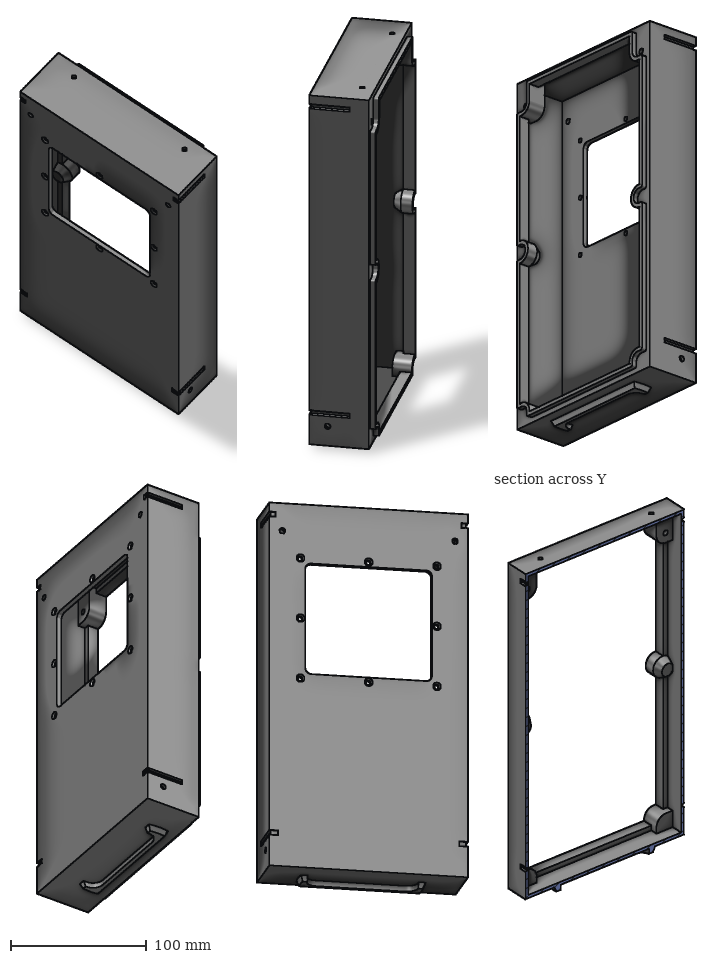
import cadquery as cq

body_width = 149.5
total_height = 283.5
total_depth = 49.0
guide_height = 4.3
lip_height = 4.0
body_height = total_height - guide_height
body_depth = total_depth - lip_height
front_thickness = 4.0
wall = 3.0
half_width = body_width / 2

lip_inset = 4.3
lip_thickness = 3.0
ledge_y = 40.3
notch_radius = 6.0
notch_mouth_fillet = 1.5
corner_notch_from_side = 15.3
top_notch_from_top = 26.7
bottom_notch_from_bottom = 14.2

boss_front_y = 34.3
boss_tip_radius = 5.5
boss_radius = notch_radius + lip_thickness
side_boss_x = 67.0
side_boss_z = body_height / 2
boss_hole_diameter = 4.3
boss_hole_x = 65.0
boss_hole_from_top = 21.3

window_width = 95.3
window_height = 85.0
window_corner_radius = 4.5
window_z = body_height - 87.5
window_screw_diameter = 3.5
window_screw_head_diameter = 6.0
window_screw_head_depth = 1.5
window_screw_pitch_x = 51.3
window_screw_pitch_z = 46.2

groove_height = 3.7
groove_depth = 1.5
groove_side_length = 30.5
groove_taper = 0.95
top_groove_z = body_height - 8.8
top_groove_reach = 4.8
bottom_groove_z = 25.5
bottom_groove_reach = 6.5

top_hole_diameter = 3.5
top_hole_x = 52.2
top_hole_y = 35.2
side_hole_diameter = 4.3
side_hole_y = 14.0
side_hole_z = 15.5

guide_width = 95.3
guide_front_y = 19.5
guide_back_y = 36.3
guide_end_bulge = 0.9
guide_taper = 25
guide_pocket_width = 83.5
guide_pocket_radius = 8.5
guide_back_thickness = 5.5


def block(x0, x1, y0, y1, z0, z1):
    """Axis-aligned box between two corners."""
    return cq.Workplane("XY").box(x1 - x0, y1 - y0, z1 - z0, centered=False).translate((x0, y0, z0))


def pin(x, z, diameter, y0, y1):
    """Cylinder along Y."""
    return cq.Workplane("XZ", origin=(x, y0, z)).circle(diameter / 2).extrude(y0 - y1)


def frustum(x, z, front_diameter, back_diameter, y0, y1):
    """Cone along Y from the front diameter at y0 to the back diameter at y1."""
    front = cq.Workplane("XZ", origin=(x, y0, z)).circle(front_diameter / 2)
    return front.workplane(offset=y0 - y1).circle(back_diameter / 2).loft()


def corner_notch(side, top, grow, y0, y1):
    """Corner block, rounded on its inner edge, enlarged inwards by grow."""
    x0, x1 = sorted((side * half_width, side * (half_width - corner_notch_from_side - grow)))
    if top:
        z0, z1 = body_height - top_notch_from_top - grow, body_height
    else:
        z0, z1 = 0, bottom_notch_from_bottom + grow
    inner_edge = ("<X" if side > 0 else ">X", "<Z" if top else ">Z")
    notch = block(x0, x1, y0, y1, z0, z1)
    return notch.faces(inner_edge[0]).edges(inner_edge[1]).fillet(notch_radius + grow)


def side_notch(side, grow, y0, y1):
    """Round-ended slot running from the side wall in to the side boss."""
    radius = notch_radius + grow
    x0, x1 = sorted((side * side_boss_x, side * half_width))
    slot = block(x0, x1, y0, y1, side_boss_z - radius, side_boss_z + radius)
    return slot.union(pin(side * side_boss_x, side_boss_z, 2 * radius, y0, y1))


def lip_plate(inset, grow, y0, y1):
    """Plate inset from the body sides and notched around the six bosses."""
    plate = block(inset - half_width, half_width - inset, y0, y1, inset, body_height - inset)
    for side in (-1, 1):
        plate = plate.cut(side_notch(side, grow, y0, y1))
        for top in (False, True):
            plate = plate.cut(corner_notch(side, top, grow, y0, y1))
    return plate


def notch_mouth_edges(plate):
    """Edges where the notches break out through the four sides of the lip."""
    tolerance = 0.03
    edges = plate.edges("|Y")
    outer_x = half_width - lip_inset
    side_edges = edges.filter(lambda e: abs(abs(e.Center().x) - outer_x) < tolerance)
    low_z, high_z = lip_inset, body_height - lip_inset
    end_edges = edges.filter(
        lambda e: min(abs(e.Center().z - low_z), abs(e.Center().z - high_z)) < tolerance
    )
    return side_edges.add(end_edges)


def shell():
    """Box with a hollow interior, still closed at the back."""
    cavity = block(
        wall - half_width, half_width - wall, front_thickness, ledge_y, wall, body_height - wall
    )
    return block(-half_width, half_width, 0, body_depth, 0, body_height).cut(cavity)


def bosses():
    """Conical-tipped bosses at mid height and solid blocks in the four corners."""
    solids = cq.Workplane("XY")
    for side in (-1, 1):
        x = side * side_boss_x
        solids = solids.union(pin(x, side_boss_z, 2 * boss_radius, ledge_y, body_depth))
        tip = frustum(x, side_boss_z, 2 * boss_tip_radius, 2 * boss_radius, boss_front_y, ledge_y)
        solids = solids.union(tip)
        for top in (False, True):
            solids = solids.union(corner_notch(side, top, lip_thickness, boss_front_y, body_depth))
    return solids.intersect(block(-half_width, half_width, 0, body_depth, 0, body_height))


def strap_groove(z, reach):
    """Tapered groove along the left wall joined to a short pocket in the front face."""
    side = (
        cq.Workplane("XY", origin=(-half_width, 0, z))
        .transformed(rotate=(0, 90, 0))
        .rect(groove_height, 2 * groove_side_length)
        .workplane(offset=groove_depth)
        .rect(groove_height - 2 * groove_taper, 2 * groove_side_length)
        .loft(ruled=True)
    )
    front = block(
        -half_width, reach - half_width, 0, groove_depth,
        z - groove_height / 2, z + groove_height / 2,
    )
    return side.union(front)


def guide():
    """Tapered rim below the underside with a rounded pocket open to the front."""
    half = guide_width / 2
    middle_y = (guide_front_y + guide_back_y) / 2
    straight = half - guide_end_bulge
    solid = (
        cq.Workplane("XY")
        .workplane(invert=True)
        .moveTo(-straight, -guide_front_y)
        .lineTo(straight, -guide_front_y)
        .threePointArc((half, -middle_y), (straight, -guide_back_y))
        .lineTo(-straight, -guide_back_y)
        .threePointArc((-half, -middle_y), (-straight, -guide_front_y))
        .close()
        .extrude(guide_height, taper=guide_taper)
    )
    pocket = block(
        -guide_pocket_width / 2, guide_pocket_width / 2,
        0, guide_back_y - guide_back_thickness, -guide_height, 0,
    )
    return solid.cut(pocket.edges(">Y and |Z").fillet(guide_pocket_radius))


def window():
    """Rounded opening through the front plate."""
    cutter = block(
        -window_width / 2, window_width / 2, 0, front_thickness,
        window_z - window_height / 2, window_z + window_height / 2,
    )
    return cutter.edges("|Y").fillet(window_corner_radius)


def window_screw(x, z):
    """Countersunk through-hole in the front plate."""
    sink = frustum(
        x, z, window_screw_head_diameter, window_screw_diameter, 0, window_screw_head_depth
    )
    return sink.union(pin(x, z, window_screw_diameter, 0, front_thickness))


lip = lip_plate(lip_inset, 0, body_depth, total_depth)
lip = notch_mouth_edges(lip).fillet(notch_mouth_fillet)
rear_opening = lip_plate(lip_inset + lip_thickness, lip_thickness, ledge_y, total_depth)

result = shell().union(lip).cut(rear_opening).union(bosses()).union(guide())
result = result.cut(window())

for column in (-1, 0, 1):
    for row in (-1, 0, 1):
        if (column, row) != (0, 0):
            x = column * window_screw_pitch_x
            z = window_z + row * window_screw_pitch_z
            result = result.cut(window_screw(x, z))

for z, reach in ((top_groove_z, top_groove_reach), (bottom_groove_z, bottom_groove_reach)):
    groove = strap_groove(z, reach)
    result = result.cut(groove).cut(groove.mirror("YZ"))

boss_hole_z = body_height - boss_hole_from_top
for side in (-1, 1):
    result = result.cut(pin(side * boss_hole_x, boss_hole_z, boss_hole_diameter, 0, body_depth))
    top_hole = cq.Workplane("XY", origin=(side * top_hole_x, top_hole_y, body_height - wall))
    result = result.cut(top_hole.circle(top_hole_diameter / 2).extrude(wall))

side_holes = cq.Workplane("YZ").center(side_hole_y, side_hole_z).circle(side_hole_diameter / 2)
result = result.cut(side_holes.extrude(half_width, both=True))